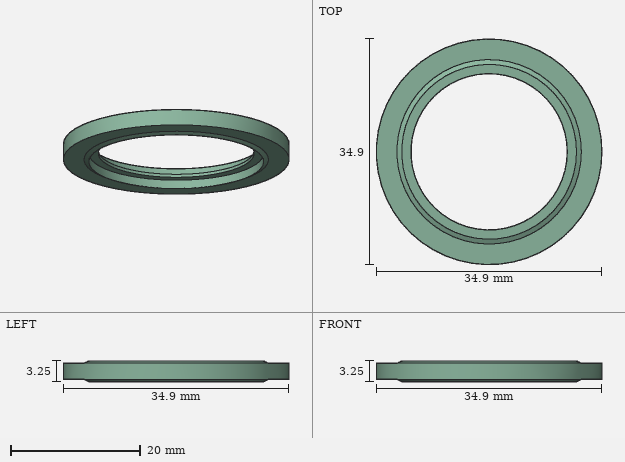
import cadquery as cq

washer_diameter = 34.93
washer_thickness = 2.5

seal_outer_diameter = 28.55
crest_diameter = 27.05
bore_diameter = 24.15
seal_height = 3.25
lip_thickness = 0.5


def make_washer():
    """Flat ring centred on the XY plane."""
    return (
        cq.Workplane("XY", origin=(0, 0, -washer_thickness / 2))
        .circle(washer_diameter / 2)
        .circle(seal_outer_diameter / 2)
        .extrude(washer_thickness)
    )


def make_seal():
    """Ring with a sloped crest above and below the washer and a thin lip at mid-height."""
    outer_radius = seal_outer_diameter / 2
    crest_radius = crest_diameter / 2
    bore_radius = bore_diameter / 2
    half_washer = washer_thickness / 2
    half_height = seal_height / 2
    half_lip = lip_thickness / 2
    return (
        cq.Workplane("XZ")
        .moveTo(outer_radius, -half_washer)
        .lineTo(outer_radius, half_washer)
        .lineTo(crest_radius, half_height)
        .lineTo(crest_radius, half_lip)
        .lineTo(bore_radius, half_lip)
        .lineTo(bore_radius, -half_lip)
        .lineTo(crest_radius, -half_lip)
        .lineTo(crest_radius, -half_height)
        .close()
        .revolve(360, (0, 0, 0), (0, 1, 0))
    )


washer = make_washer()
seal = make_seal()

result = cq.Compound.makeCompound([washer.val(), seal.val()])